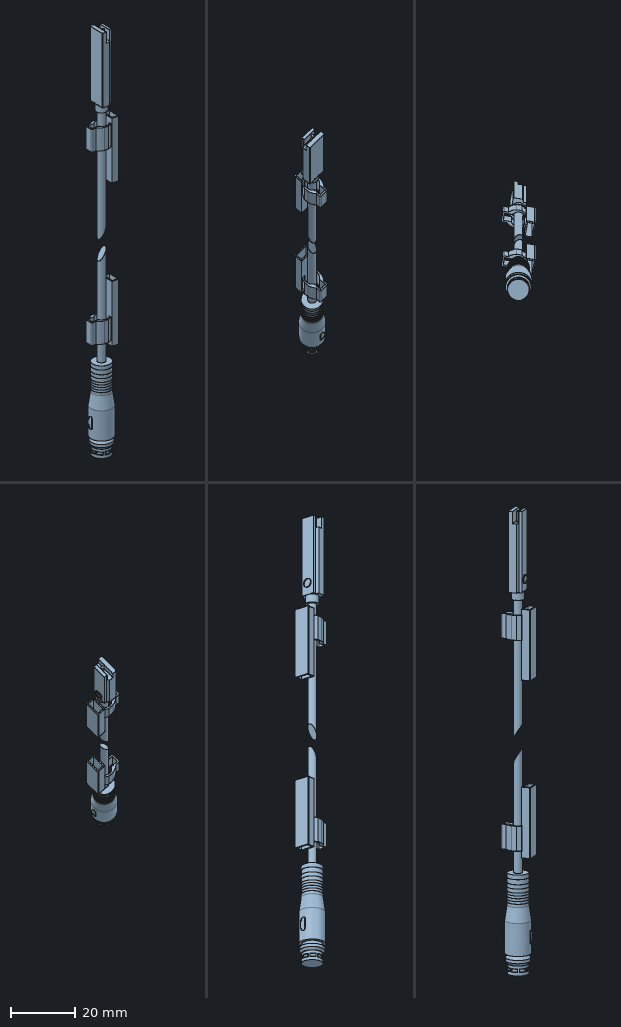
import cadquery as cq
import math

TOTAL_LENGTH = 149.0
OVERALL_DEPTH = 10.3

CABLE_DIAMETER = 2.8
CUT_HEIGHT = 4.6
UPPER_CABLE_TIP = 75.2
LOWER_CABLE_TIP = 72.4

SENSOR_BOTTOM = 122.9
SENSOR_WIDTH = 6.7
SENSOR_DEPTH = 4.3
SENSOR_BACK_WIDTH = 4.9
STEP_INNER_Y = 0.7
STEP_OUTER_Y = 1.2
SENSOR_BEVEL_WIDTH = 0.37
SENSOR_BEVEL_DEPTH = 0.22
COLLAR_DIAMETER = SENSOR_DEPTH
COLLAR_BOTTOM = 120.2
SLOT_DEPTH = 3.9
SLOT_FRONT_Y = -0.6
SLOT_BACK_Y = 1.0
POST_DIAMETER = 1.0
POST_X = 0.5
POST_DROP = 0.5
SCREW_DIAMETER = 2.8
SCREW_PROTRUSION = 0.3
SCREW_Z = 126.8

CONNECTOR_TOP = 32.5
GRIP_DIAMETER = 7.0
GRIP_BOTTOM = 22.0
GROOVE_DIAMETER = 6.9
GROOVES = [(29.4, 31.0), (26.7, 28.0), (24.9, 25.8), (23.1, 24.0)]
SLEEVE_DIAMETER = 8.5
SLEEVE_TOP = 17.1
SLEEVE_BOTTOM = 6.5
NECK_DIAMETER = 6.5
LOCK_RING_DIAMETER = 8.0
LOCK_RING_TOP = 5.2
LOCK_RING_BOTTOM = 4.2
PLUG_DIAMETER = 6.9
PLUG_TOP = 3.3
NOTCH_COUNT = 8
NOTCH_WIDTH = 2.0
NOTCH_DEPTH = 0.5
NOTCH_BOTTOM = 1.2
NOTCH_TOP = 2.2
RIDGE_WIDTH = 1.6
RIDGE_LENGTH = 4.5
RIDGE_PROTRUSION = 0.37
RIDGE_Z = 12.0

FOOT_LENGTH = 22.8
FOOT_WIDTH = 5.2
FOOT_WALL = 0.5
FOOT_FRONT_Y = 2.1
FOOT_BACK_Y = OVERALL_DEPTH / 2
FOOT_PLATE_THICKNESS = 0.5
FOOT_PLATE_WIDTH = 5.4
BAND_LENGTH = 8.0
BAND_WIDTH = 5.8
BAND_ROOT_WIDTH = 4.2
BAND_WALL = 0.6
BAND_OFFSET = 2.1
BAND_FLAT_BACK_Y = 0.6
BAND_FLAT_FRONT_Y = -1.0
BAND_BULGE = 0.22
LUG_WIDTH = 3.5
LUG_ROOT_Y = -3.5
LUG_FRONT_Y = -OVERALL_DEPTH / 2
LUG_ROUND = 0.5
UPPER_CLIP_TOP = 117.7
LOWER_CLIP_BOTTOM = 37.8


def cylinder(diameter, bottom, top):
    return cq.Workplane("XY").workplane(offset=bottom).circle(diameter / 2).extrude(top - bottom)


def box(x_range, y_range, z_range):
    size = [high - low for low, high in (x_range, y_range, z_range)]
    start = (x_range[0], y_range[0], z_range[0])
    return cq.Workplane("XY").box(*size, centered=False).translate(start)


def oblique_cable(tip, far_end):
    """A length of cable from far_end to its pointed tip."""
    radius = CABLE_DIAMETER / 2
    cut_direction = math.copysign(CUT_HEIGHT, far_end - tip)
    tip_y = -math.copysign(radius, cut_direction)
    side = (
        cq.Workplane("YZ")
        .polyline([(tip_y, tip), (-tip_y, tip + cut_direction), (-tip_y, far_end), (tip_y, far_end)])
        .close()
        .extrude(radius, both=True)
    )
    return cylinder(CABLE_DIAMETER, min(tip, far_end), max(tip, far_end)).intersect(side)


def sensor_bar():
    """Bar with bevelled front corners and a narrower strip along its back."""
    half_width = SENSOR_WIDTH / 2
    half_front = half_width - SENSOR_BEVEL_WIDTH
    half_back = SENSOR_BACK_WIDTH / 2
    half_depth = SENSOR_DEPTH / 2
    return (
        cq.Workplane("XY")
        .workplane(offset=SENSOR_BOTTOM)
        .polyline([
            (-half_front, -half_depth),
            (half_front, -half_depth),
            (half_width, -half_depth + SENSOR_BEVEL_DEPTH),
            (half_width, STEP_INNER_Y),
            (half_back, STEP_OUTER_Y),
            (half_back, half_depth),
            (-half_back, half_depth),
            (-half_back, STEP_OUTER_Y),
            (-half_width, STEP_INNER_Y),
            (-half_width, -half_depth + SENSOR_BEVEL_DEPTH),
        ])
        .close()
        .extrude(TOTAL_LENGTH - SENSOR_BOTTOM)
    )


def sensor_end_slot():
    """Slot across the sensor's top end, around a round post."""
    floor = TOTAL_LENGTH - SLOT_DEPTH
    half_width = SENSOR_WIDTH / 2
    slot = box((-half_width, half_width), (SLOT_FRONT_Y, SLOT_BACK_Y), (floor, TOTAL_LENGTH))
    post = cylinder(POST_DIAMETER, floor, TOTAL_LENGTH - POST_DROP)
    return slot.cut(post.translate((POST_X, (SLOT_FRONT_Y + SLOT_BACK_Y) / 2, 0)))


def sensor_screw():
    reach = SENSOR_DEPTH / 2 + SCREW_PROTRUSION
    return (
        cq.Workplane("XZ", origin=(0, 0, SCREW_Z))
        .circle(SCREW_DIAMETER / 2)
        .extrude(-reach)
    )


def make_sensor():
    """Sensor together with its moulded-on cable."""
    return (
        sensor_bar()
        .cut(sensor_end_slot())
        .union(sensor_screw())
        .union(cylinder(COLLAR_DIAMETER, COLLAR_BOTTOM, SENSOR_BOTTOM))
        .union(oblique_cable(UPPER_CABLE_TIP, COLLAR_BOTTOM))
    )


def connector_shell():
    """Turned outer shape of the connector, from the plug end up to the grip."""
    return (
        cq.Workplane("XZ")
        .polyline([
            (0, 0),
            (PLUG_DIAMETER / 2, 0),
            (PLUG_DIAMETER / 2, PLUG_TOP),
            (NECK_DIAMETER / 2, PLUG_TOP),
            (LOCK_RING_DIAMETER / 2, LOCK_RING_BOTTOM),
            (LOCK_RING_DIAMETER / 2, LOCK_RING_TOP),
            (NECK_DIAMETER / 2, SLEEVE_BOTTOM),
            (SLEEVE_DIAMETER / 2, SLEEVE_BOTTOM),
            (SLEEVE_DIAMETER / 2, SLEEVE_TOP),
            (GRIP_DIAMETER / 2, GRIP_BOTTOM),
            (GRIP_DIAMETER / 2, CONNECTOR_TOP),
            (0, CONNECTOR_TOP),
        ])
        .close()
        .revolve(360, (0, 0), (0, 1))
    )


def grip_groove(bottom, top):
    return cylinder(GRIP_DIAMETER, bottom, top).cut(cylinder(GROOVE_DIAMETER, bottom, top))


def plug_notch(angle):
    """Shallow notch in the side of the plug."""
    radius = PLUG_DIAMETER / 2
    half_width = NOTCH_WIDTH / 2
    notch = box((radius - NOTCH_DEPTH, radius), (-half_width, half_width), (NOTCH_BOTTOM, NOTCH_TOP))
    return notch.rotate((0, 0, 0), (0, 0, 1), angle)


def sleeve_ridges():
    """Upright round-ended ridges on the front and the back of the sleeve, bowed outward."""
    radius = SLEEVE_DIAMETER / 2
    reach = radius + RIDGE_PROTRUSION
    bottom = RIDGE_Z - RIDGE_LENGTH / 2
    top = RIDGE_Z + RIDGE_LENGTH / 2
    bowed_side = (
        cq.Workplane("YZ")
        .moveTo(-radius, bottom)
        .lineTo(radius, bottom)
        .threePointArc((reach, RIDGE_Z), (radius, top))
        .lineTo(-radius, top)
        .threePointArc((-reach, RIDGE_Z), (-radius, bottom))
        .close()
        .extrude(RIDGE_WIDTH / 2, both=True)
    )
    return (
        cq.Workplane("XZ", origin=(0, 0, RIDGE_Z))
        .slot2D(RIDGE_LENGTH, RIDGE_WIDTH, 90)
        .extrude(reach, both=True)
        .intersect(bowed_side)
    )


def make_connector():
    """Connector together with its moulded-on cable."""
    connector = connector_shell().union(sleeve_ridges())
    for bottom, top in GROOVES:
        connector = connector.cut(grip_groove(bottom, top))
    for index in range(NOTCH_COUNT):
        connector = connector.cut(plug_notch(index * 360 / NOTCH_COUNT))
    return connector.union(oblique_cable(LOWER_CABLE_TIP, CONNECTOR_TOP))


def clip_foot():
    """Hollow foot that runs along the back of the cable."""
    half_width = FOOT_WIDTH / 2
    outside = box((-half_width, half_width), (FOOT_FRONT_Y, FOOT_BACK_Y), (0, FOOT_LENGTH))
    half_plate = FOOT_PLATE_WIDTH / 2
    plate = box(
        (-half_plate, half_plate),
        (FOOT_BACK_Y - FOOT_PLATE_THICKNESS, FOOT_BACK_Y),
        (0, FOOT_LENGTH),
    )
    half_inside = half_width - FOOT_WALL
    inside = box(
        (-half_inside, half_inside),
        (FOOT_FRONT_Y + FOOT_WALL, FOOT_BACK_Y - FOOT_WALL),
        (0, FOOT_LENGTH),
    )
    return outside.union(plate).cut(inside)


def clip_band_block():
    """Outer shape of the band, without its opening."""
    half_root = BAND_ROOT_WIDTH / 2
    half_band = BAND_WIDTH / 2
    half_lug = LUG_WIDTH / 2
    bulge = ((half_band + half_lug) / 2 + BAND_BULGE, (BAND_FLAT_FRONT_Y + LUG_ROOT_Y) / 2)
    outline = (
        cq.Workplane("XY")
        .moveTo(half_root, FOOT_FRONT_Y)
        .lineTo(half_band, BAND_FLAT_BACK_Y)
        .lineTo(half_band, BAND_FLAT_FRONT_Y)
        .threePointArc(bulge, (half_lug, LUG_ROOT_Y))
        .lineTo(half_lug, LUG_FRONT_Y)
        .lineTo(-half_lug, LUG_FRONT_Y)
        .lineTo(-half_lug, LUG_ROOT_Y)
        .threePointArc((-bulge[0], bulge[1]), (-half_band, BAND_FLAT_FRONT_Y))
        .lineTo(-half_band, BAND_FLAT_BACK_Y)
        .lineTo(-half_root, FOOT_FRONT_Y)
        .close()
    )
    return outline.extrude(BAND_LENGTH).edges("|Z and <Y").fillet(LUG_ROUND)


def clip_band():
    """Thin band that loops loosely around the cable, with flat sides and a lug in front."""
    half_opening = LUG_WIDTH / 2 - BAND_WALL
    lug_opening = box(
        (-half_opening, half_opening),
        (LUG_FRONT_Y + BAND_WALL, 0),
        (0, BAND_LENGTH),
    )
    cable_opening = cylinder(BAND_WIDTH - 2 * BAND_WALL, 0, BAND_LENGTH)
    foot_side = box(
        (-BAND_WIDTH, BAND_WIDTH),
        (FOOT_FRONT_Y, FOOT_BACK_Y),
        (0, BAND_LENGTH),
    )
    return clip_band_block().cut(lug_opening).cut(cable_opening.cut(foot_side))


def make_clip():
    """Clip standing on Z = 0 with its band near the lower end."""
    return clip_foot().union(clip_band().translate((0, 0, BAND_OFFSET)))


sensor = make_sensor()
connector = make_connector()

clips = []
for end_z, upside_down in ((LOWER_CLIP_BOTTOM, False), (UPPER_CLIP_TOP, True)):
    clip = make_clip()
    if upside_down:
        clip = clip.mirror("XY")
    clips.append(clip.translate((0, 0, end_z)))

result = cq.Compound.makeCompound([
    sensor.val(),
    connector.val(),
    *[clip.val() for clip in clips],
])